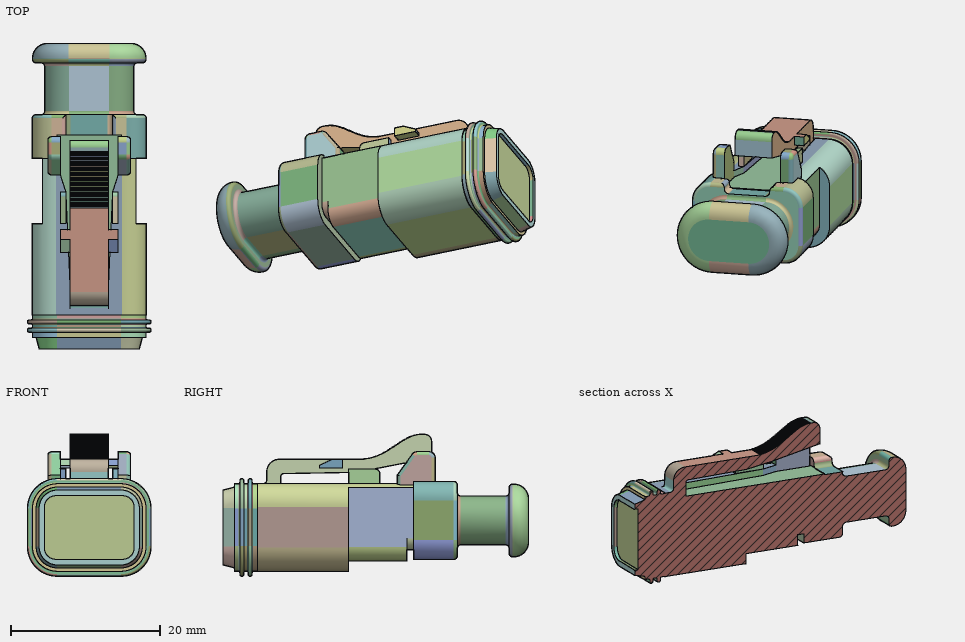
import cadquery as cq
import math


TOTAL_LENGTH = 40.88

BODY_WIDTH = 15.28
BODY_HEIGHT = 11.8
BODY_RADIUS = 3.2
BODY_TOP = BODY_HEIGHT / 2
NOSE_LENGTH = 1.53
NOSE_WIDTH = 14.2
NOSE_HEIGHT = 10.82
NOSE_RADIUS = 2.84
NOSE_INSET = 0.4
RECESS_WIDTH = 11.97
RECESS_HEIGHT = 8.5
RECESS_RADIUS = 1.5
RECESS_DEPTH = 0.5
WIDE_END = 16.8

SEAT_WIDTH = 15.2
SEAT_HEIGHT = 11.72
SEAT_RADIUS = 3.33
SEAT_END = 4.6
RING_RADIUS = 0.28
RING_PROTRUSION = 0.675
RING_FOOT_RADIUS = 0.14
RING_CENTRES = (2.54, 3.65)

REAR_WIDTH = 12.5
REAR_BOTTOM = -4.5
REAR_RADIUS = 1.87
REAR_END = 24.6
STEM_BOTTOM = -3.0
STEM_RADIUS = 1.5

BOOT_Z = 0.94
COLLAR_START = 25.5
COLLAR_END = 31.35
COLLAR_WIDTH = BODY_WIDTH
COLLAR_HEIGHT = 10.47
COLLAR_RADIUS = 2.6
COLLAR_TOP = BOOT_Z + COLLAR_HEIGHT / 2
COLLAR_ROUND = 0.5
NECK_WIDTH = 11.96
NECK_HEIGHT = 6.55
NECK_FILLET = 0.47
FLANGE_START = 38.26
FLANGE_WIDTH = 15.2
FLANGE_HEIGHT = 9.75
FLANGE_FRONT_ROUND = 0.5
FLANGE_REAR_ROUND = 2.0
JOINT_MARGIN = 0.005

CHANNEL_HALF_FLOOR = 2.5
CHANNEL_FOOT_RADIUS = 0.62
CHANNEL_LIP_RADIUS = 0.5
CHANNEL_WALL = 0.15
CHANNEL_FLOOR = COLLAR_TOP - CHANNEL_FOOT_RADIUS - CHANNEL_WALL - CHANNEL_LIP_RADIUS

POCKET_FLOOR = CHANNEL_FLOOR + 0.1
POCKET_END = 28.6
POCKET_COLLAR_HALF_WIDTH = 4.3

TAB_INNER = 3.86
TAB_OUTER = 5.54
TAB_FRONT = 23.3
TAB_REAR = 28.4
TAB_TOP = 10.13
TAB_TOP_FRONT = 25.55
TAB_SHOULDER = 7.0
TAB_CORNER_RADIUS = 0.8
TAB_ROUND = 0.5

POST_INNER = 3.12
POST_REAR = 21.0
POST_TOP = 7.83
POST_ROUND = 0.65

LEVER_WIDTH = 5.08
LEVER_FOOT_FRONT = 5.84
LEVER_FOOT_REAR = 7.76
LEVER_REAR = 27.93
LEVER_TOP = 9.14
LEVER_FOOT_FILLET = 0.4
LEVER_BEND_RADIUS = 1.75
LEVER_INNER_RADIUS = 0.35
LEVER_UNDER_BEND = 7.19
LEVER_UNDER_MID = 7.34
LEVER_UNDER_REAR = 9.3
LEVER_KINK = 20.57
LEVER_UNDER_KINK = 7.88
CREST_TOP = 12.475
CREST_RADIUS = 1.0
GRIP_REAR = 26.6
GRIP_FRONT = 18.9
GRIP_STEPS = 52
GRIP_CURVE_FRONT = 17.5
GRIP_SKEW = 1.55

EAR_REAR = 15.97
EAR_FLAT_END = 14.67
EAR_FRONT = 12.93
EAR_BOTTOM = 7.93
EAR_TIP = 8.32


def rounded_block(width, height, radius, y_start, y_end, z_middle=0.0):
    """Bar along Y whose cross-section is a rectangle with rounded corners."""
    bar = (
        cq.Workplane("XZ", origin=(0, y_start, z_middle))
        .rect(width, height)
        .extrude(y_start - y_end)
    )
    return bar.edges("|Y").fillet(radius)


def half_round_block(width, height, y_start, y_end):
    """Bar along Y, centred on the boot, with half-round left and right sides."""
    return (
        cq.Workplane("XZ", origin=(0, y_start, BOOT_Z))
        .slot2D(width, height)
        .extrude(y_start - y_end)
    )


def box(x_start, x_end, y_start, y_end, z_start, z_end):
    size = (x_end - x_start, y_end - y_start, z_end - z_start)
    return cq.Workplane("XY", origin=(x_start, y_start, z_start)).box(*size, centered=False)


def both_sides(feature):
    return feature.union(feature.mirror("YZ"))


def side_profile(x_start):
    """Sketch plane with Y across and Z up; extrusion runs toward +X."""
    return cq.Workplane("YZ", origin=(x_start, 0, 0))


def nose():
    taper = math.degrees(math.atan(NOSE_INSET / NOSE_LENGTH))
    section = cq.Sketch().rect(NOSE_WIDTH, NOSE_HEIGHT).vertices().fillet(NOSE_RADIUS)
    solid = (
        cq.Workplane("XZ", origin=(0, NOSE_LENGTH, 0))
        .placeSketch(section)
        .extrude(NOSE_LENGTH, taper=taper)
    )
    recess = rounded_block(RECESS_WIDTH, RECESS_HEIGHT, RECESS_RADIUS, 0, RECESS_DEPTH)
    return solid.cut(recess)


def seal_ring(y_middle):
    """Bead with a round crest and filleted foot, swept around the seal seat."""
    half_width = SEAT_WIDTH / 2
    half_height = SEAT_HEIGHT / 2
    flat_x = half_width - SEAT_RADIUS
    flat_z = half_height - SEAT_RADIUS
    path = (
        cq.Workplane("XZ", origin=(0, y_middle, 0))
        .moveTo(-flat_x, half_height)
        .lineTo(flat_x, half_height)
        .tangentArcPoint((half_width, flat_z), relative=False)
        .lineTo(half_width, -flat_z)
        .tangentArcPoint((flat_x, -half_height), relative=False)
        .lineTo(-flat_x, -half_height)
        .tangentArcPoint((-half_width, -flat_z), relative=False)
        .lineTo(-half_width, flat_z)
        .tangentArcPoint((-flat_x, half_height), relative=False)
        .close()
    )
    foot = RING_RADIUS + RING_FOOT_RADIUS
    arc_offset = RING_FOOT_RADIUS * math.sqrt(0.5)
    foot_z = half_height + RING_FOOT_RADIUS
    crest_z = half_height + RING_PROTRUSION
    root_z = half_height - RING_RADIUS
    bead = (
        cq.Workplane("YZ", origin=(-flat_x, y_middle, 0))
        .moveTo(-foot, root_z)
        .lineTo(-foot, half_height)
        .threePointArc((-foot + arc_offset, foot_z - arc_offset), (-RING_RADIUS, foot_z))
        .lineTo(-RING_RADIUS, crest_z - RING_RADIUS)
        .threePointArc((0, crest_z), (RING_RADIUS, crest_z - RING_RADIUS))
        .lineTo(RING_RADIUS, foot_z)
        .threePointArc((foot - arc_offset, foot_z - arc_offset), (foot, half_height))
        .lineTo(foot, root_z)
        .close()
    )
    return bead.sweep(path)


def rear_section(y_start, y_end, bottom, radius):
    """Length of the housing outline, cut flat on both sides and raised at the bottom."""
    outline = rounded_block(BODY_WIDTH, BODY_HEIGHT, BODY_RADIUS, y_start, y_end)
    limits = box(-REAR_WIDTH / 2, REAR_WIDTH / 2, y_start, y_end, bottom, BODY_TOP)
    return outline.intersect(limits.edges("|Y and <Z").fillet(radius))


def housing():
    solid = rounded_block(BODY_WIDTH, BODY_HEIGHT, BODY_RADIUS, SEAT_END, WIDE_END)
    solid = solid.union(rounded_block(SEAT_WIDTH, SEAT_HEIGHT, SEAT_RADIUS, NOSE_LENGTH, SEAT_END))
    solid = solid.union(nose())
    solid = solid.union(rear_section(WIDE_END, REAR_END, REAR_BOTTOM, REAR_RADIUS))
    solid = solid.union(rear_section(REAR_END, POCKET_END, STEM_BOTTOM, STEM_RADIUS))
    for y_middle in RING_CENTRES:
        solid = solid.union(seal_ring(y_middle))
    return solid


def collar_channel():
    foot_x = CHANNEL_HALF_FLOOR + CHANNEL_FOOT_RADIUS
    lip_x = foot_x + CHANNEL_LIP_RADIUS
    wall_z = CHANNEL_FLOOR + CHANNEL_FOOT_RADIUS
    lip_z = wall_z + CHANNEL_WALL
    diagonal = math.sqrt(0.5)
    foot_mid = (
        CHANNEL_HALF_FLOOR + CHANNEL_FOOT_RADIUS * diagonal,
        wall_z - CHANNEL_FOOT_RADIUS * diagonal,
    )
    lip_mid = (
        lip_x - CHANNEL_LIP_RADIUS * diagonal,
        lip_z + CHANNEL_LIP_RADIUS * diagonal,
    )
    half = (
        cq.Workplane("XZ", origin=(0, COLLAR_START, 0))
        .moveTo(0, CHANNEL_FLOOR)
        .lineTo(CHANNEL_HALF_FLOOR, CHANNEL_FLOOR)
        .threePointArc(foot_mid, (foot_x, wall_z))
        .lineTo(foot_x, lip_z)
        .threePointArc(lip_mid, (lip_x, COLLAR_TOP))
        .lineTo(0, COLLAR_TOP)
        .close()
        .extrude(COLLAR_START - COLLAR_END)
    )
    return both_sides(half)


def boot():
    collar = rounded_block(
        COLLAR_WIDTH, COLLAR_HEIGHT, COLLAR_RADIUS, COLLAR_START, COLLAR_END, BOOT_Z
    )
    collar = collar.faces(">Y").edges().fillet(COLLAR_ROUND)
    neck = half_round_block(NECK_WIDTH, NECK_HEIGHT, COLLAR_END, FLANGE_START)
    flange = half_round_block(FLANGE_WIDTH, FLANGE_HEIGHT, FLANGE_START, TOTAL_LENGTH)
    flange = flange.faces(">Y").edges().fillet(FLANGE_REAR_ROUND)
    flange = flange.faces("<Y").edges().fillet(FLANGE_FRONT_ROUND)
    solid = collar.union(neck).union(flange)
    for y_joint in (COLLAR_END, FLANGE_START):
        joint = cq.selectors.BoxSelector(
            (-NECK_WIDTH / 2 - JOINT_MARGIN, y_joint - JOINT_MARGIN, BOOT_Z - NECK_HEIGHT),
            (NECK_WIDTH / 2 + JOINT_MARGIN, y_joint + JOINT_MARGIN, BOOT_Z + NECK_HEIGHT),
        )
        solid = solid.edges(joint).fillet(NECK_FILLET)
    return solid.cut(collar_channel())


def latch_pocket():
    """Clearance under the lever: narrow at its foot, flaring out between the guard tabs."""
    half_lever = LEVER_WIDTH / 2
    half = (
        cq.Workplane("XY", origin=(0, 0, POCKET_FLOOR))
        .moveTo(0, LEVER_FOOT_REAR)
        .lineTo(half_lever, LEVER_FOOT_REAR)
        .lineTo(POST_INNER, POST_REAR)
        .lineTo(TAB_INNER, TAB_FRONT)
        .lineTo(TAB_INNER, COLLAR_START)
        .lineTo(POCKET_COLLAR_HALF_WIDTH, COLLAR_START)
        .lineTo(POCKET_COLLAR_HALF_WIDTH, POCKET_END)
        .lineTo(0, POCKET_END)
        .close()
        .extrude(COLLAR_TOP - POCKET_FLOOR)
    )
    return both_sides(half)


def guard_tabs():
    tab = (
        side_profile(TAB_INNER)
        .moveTo(TAB_FRONT, POCKET_FLOOR)
        .lineTo(TAB_FRONT, TAB_SHOULDER)
        .lineTo(TAB_TOP_FRONT, TAB_TOP)
        .lineTo(TAB_REAR, TAB_TOP)
        .lineTo(TAB_REAR, POCKET_FLOOR)
        .close()
        .extrude(TAB_OUTER - TAB_INNER)
    )
    tab = tab.faces(">Z").edges("|X").fillet(TAB_CORNER_RADIUS)
    tab = tab.faces(">X").edges("not <Z").fillet(TAB_ROUND)
    return both_sides(tab)


def posts():
    post = box(POST_INNER, TAB_INNER, WIDE_END, POST_REAR, POCKET_FLOOR, POST_TOP)
    return both_sides(post.edges(">Y and >Z").fillet(POST_ROUND))


def grip_height(y):
    """Thumb grip curve: a skewed half cosine wave from the arm up to the crest."""
    phase = math.pi * (y - GRIP_CURVE_FRONT) / (GRIP_REAR - GRIP_CURVE_FRONT)
    rise = (1 - math.cos(phase)) / 2
    return LEVER_TOP + (CREST_TOP - LEVER_TOP) * rise ** GRIP_SKEW


def lever():
    bend_y = LEVER_FOOT_FRONT + LEVER_BEND_RADIUS
    foot_edge = LEVER_FOOT_FRONT - LEVER_FOOT_FILLET
    fillet_offset = LEVER_FOOT_FILLET * math.sqrt(0.5)
    fillet_mid = (foot_edge + fillet_offset, BODY_TOP + LEVER_FOOT_FILLET - fillet_offset)
    step = (GRIP_REAR - GRIP_FRONT) / GRIP_STEPS
    profile = (
        side_profile(-LEVER_WIDTH / 2)
        .moveTo(foot_edge, POCKET_FLOOR)
        .lineTo(foot_edge, BODY_TOP)
        .threePointArc(fillet_mid, (LEVER_FOOT_FRONT, BODY_TOP + LEVER_FOOT_FILLET))
        .lineTo(LEVER_FOOT_FRONT, LEVER_TOP - LEVER_BEND_RADIUS)
        .tangentArcPoint((bend_y, LEVER_TOP), relative=False)
        .lineTo(GRIP_FRONT, LEVER_TOP)
    )
    for index in range(GRIP_STEPS):
        y = GRIP_FRONT + index * step
        next_height = grip_height(y + step)
        profile = profile.lineTo(y, next_height).lineTo(y + step, next_height)
    solid = (
        profile
        .lineTo(LEVER_REAR, CREST_TOP)
        .lineTo(LEVER_REAR, LEVER_UNDER_REAR)
        .lineTo(LEVER_KINK, LEVER_UNDER_KINK)
        .lineTo(WIDE_END, LEVER_UNDER_MID)
        .lineTo(LEVER_FOOT_REAR + LEVER_INNER_RADIUS, LEVER_UNDER_BEND)
        .tangentArcPoint((LEVER_FOOT_REAR, LEVER_UNDER_BEND - LEVER_INNER_RADIUS), relative=False)
        .lineTo(LEVER_FOOT_REAR, POCKET_FLOOR)
        .close()
        .extrude(LEVER_WIDTH)
    )
    return solid.edges("|X").edges(">Y").edges(">Z").fillet(CREST_RADIUS)


def stop_ears():
    return (
        side_profile(-TAB_INNER)
        .moveTo(EAR_REAR, EAR_BOTTOM)
        .lineTo(EAR_REAR, LEVER_TOP)
        .lineTo(EAR_FLAT_END, LEVER_TOP)
        .lineTo(EAR_FRONT, EAR_TIP)
        .lineTo(EAR_FRONT, EAR_BOTTOM)
        .close()
        .extrude(2 * TAB_INNER)
    )


result = (
    housing()
    .union(boot())
    .cut(latch_pocket())
    .union(guard_tabs())
    .union(posts())
    .union(lever())
    .union(stop_ears())
)